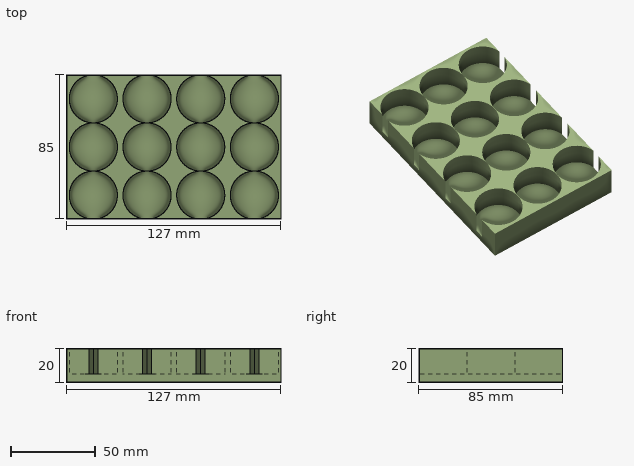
import cadquery as cq

length = 127.0
width = 85.0
height = 20.0

columns = 4
rows = 3
well_diameter = 28.5
well_depth = 15.0
pitch_x = length / columns
pitch_y = well_diameter


def make_block():
    """Plain block centred on the origin in X and Y, standing on Z = 0."""
    return cq.Workplane("XY").box(length, width, height, centered=(True, True, False))


def cut_wells(block):
    """Cut the grid of flat-bottomed round wells down from the top face."""
    for column in range(columns):
        for row in range(rows):
            x = (column - (columns - 1) / 2) * pitch_x
            y = (row - (rows - 1) / 2) * pitch_y
            well = (
                cq.Workplane("XY", origin=(x, y, height - well_depth))
                .circle(well_diameter / 2)
                .extrude(well_depth)
            )
            block = block.cut(well)
    return block


result = cut_wells(make_block())